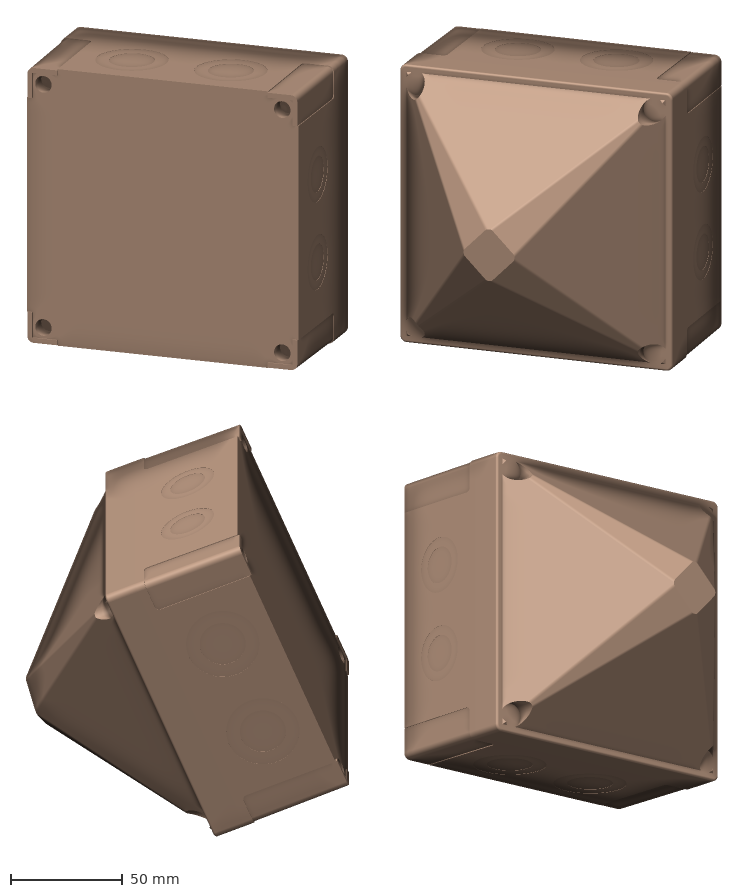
import cadquery as cq
import math


width = 130.1
half_width = width / 2
corner_radius = 3.0

base_depth = 49.5
draft_inset = 0.4
draft_angle = math.degrees(math.atan(draft_inset / base_depth))

pad_start = 4.2
pad_length = 15.0
pad_recess = 0.4
pad_corner_radius = 2.0
foot_height = 0.8
foot_width = 3.1

knockout_depth = 25.2
knockout_step = 0.1
wide_spacing = 47.1
wide_outer_radius = 16.4
wide_inner_radius = 10.3
narrow_spacing = 41.1
narrow_outer_radius = 12.7
narrow_inner_radius = 8.3

screw_offset = half_width - 8.2
screw_diameter = 4.5
access_diameter = 7.8
access_depth = 7.8

lid_depth = 14.8
lid_edge_radius = 1.0
hood_height = 60.0
hood_base_half = 61.8
hood_top_half = 12.1
hood_tip_half = 1.2
hood_edge_radius = 2.6
screw_well_radius = 5.5

corner_signs = [(sx, sz) for sx in (-1, 1) for sz in (-1, 1)]
corners = [(sx * half_width, sz * half_width) for sx, sz in corner_signs]
screw_points = [(sx * screw_offset, sz * screw_offset) for sx, sz in corner_signs]


def plane_at(y):
    """A workplane at height y that faces -Y, with local axes X and Z."""
    return cq.Workplane("XZ", origin=(0, y, 0))


def turned_about_y(shape, angle):
    """The shape, turned about the axis through the middle of the part."""
    return shape.rotate((0, 0, 0), (0, 1, 0), angle)


def drafted_block(inset, depth):
    """A rounded square block from the parting plane toward -Y, with drafted sides."""
    size = width - 2 * inset
    block = plane_at(0).rect(size, size).extrude(depth, taper=draft_angle)
    return block.edges("not(#Y)").fillet(corner_radius)


def wall_recess(cells, depth):
    """The outer layer of the drafted walls, of the given depth, that lies inside the cells."""
    return cells.cut(drafted_block(depth, base_depth))


def corner_pads():
    """The layer to remove from the walls around the four corners of the base."""
    size = 2 * pad_length
    length = base_depth - pad_start
    cells = plane_at(-pad_start).pushPoints(corners).rect(size, size).extrude(length)
    cells = cells.faces(">Y").edges().fillet(pad_corner_radius)
    return wall_recess(cells, pad_recess)


def feet():
    """Four L-shaped feet that carry the corner pads past the front of the base."""
    inner = width - 2 * foot_width
    frame = drafted_block(pad_recess, base_depth + foot_height)
    frame = frame.cut(plane_at(0).rect(inner, inner).extrude(width))
    keep = plane_at(-base_depth).pushPoints(corners).rect(2 * pad_length, 2 * pad_length)
    return frame.intersect(keep.extrude(foot_height))


def knockout_discs(spacing, radius, depth):
    """The discs to remove from the top and bottom walls, two on each wall."""
    centres = [(side * spacing / 2, -knockout_depth) for side in (-1, 1)]
    bars = cq.Workplane("XY").pushPoints(centres).circle(radius).extrude(half_width, both=True)
    return wall_recess(bars, depth)


def make_base():
    base = drafted_block(0, base_depth).cut(corner_pads()).union(feet())
    for spacing, outer_radius, inner_radius, turn in (
        (wide_spacing, wide_outer_radius, wide_inner_radius, 0),
        (narrow_spacing, narrow_outer_radius, narrow_inner_radius, 90),
    ):
        for radius, depth in ((outer_radius, knockout_step), (inner_radius, 2 * knockout_step)):
            discs = knockout_discs(spacing, radius, depth)
            base = base.cut(turned_about_y(discs, turn))
    access_floor = plane_at(-base_depth + access_depth)
    access = access_floor.pushPoints(screw_points).circle(access_diameter / 2)
    shafts = plane_at(0).pushPoints(screw_points).circle(screw_diameter / 2)
    return base.cut(access.extrude(access_depth)).cut(shafts.extrude(base_depth))


def square_frustum(base_side, top_side):
    """A square frustum from the back of the lid plate toward +Y."""
    slope = math.degrees(math.atan((base_side - top_side) / 2 / hood_height))
    return plane_at(lid_depth).rect(base_side, base_side).extrude(-hood_height, taper=slope)


def make_hood():
    """A square at the lid that turns into a blunt diamond at the top."""
    diamond_base = 2 * hood_base_half * math.sqrt(2)
    diamond_top = (hood_top_half + hood_tip_half) * math.sqrt(2)
    hood = square_frustum(2 * hood_base_half, 2 * hood_top_half)
    diamond = turned_about_y(square_frustum(diamond_base, diamond_top), 45)
    hood = hood.intersect(diamond)
    wells = plane_at(lid_depth).pushPoints(screw_points).circle(screw_well_radius)
    hood = hood.cut(wells.extrude(-hood_height))
    lower = (-half_width, lid_depth + hood_height / 4, -half_width)
    upper = (half_width, lid_depth + hood_height * 3 / 4, half_width)
    return hood.edges(cq.selectors.BoxSelector(lower, upper)).fillet(hood_edge_radius)


def make_lid():
    plate = plane_at(0).rect(width, width).extrude(-lid_depth)
    plate = plate.edges("|Y").fillet(corner_radius).faces(">Y").edges().fillet(lid_edge_radius)
    shafts = plane_at(0).pushPoints(screw_points).circle(screw_diameter / 2).extrude(-lid_depth)
    return plate.union(make_hood()).cut(shafts)


def make_screw(x, z):
    """A plain screw shank from the access hole in the base to the back of the lid plate."""
    length = lid_depth + base_depth - access_depth
    return plane_at(lid_depth).center(x, z).circle(screw_diameter / 2).extrude(length)


base = make_base()
lid = make_lid()
screws = [make_screw(x, z).val() for x, z in screw_points]

result = cq.Compound.makeCompound([base.val(), lid.val(), *screws])